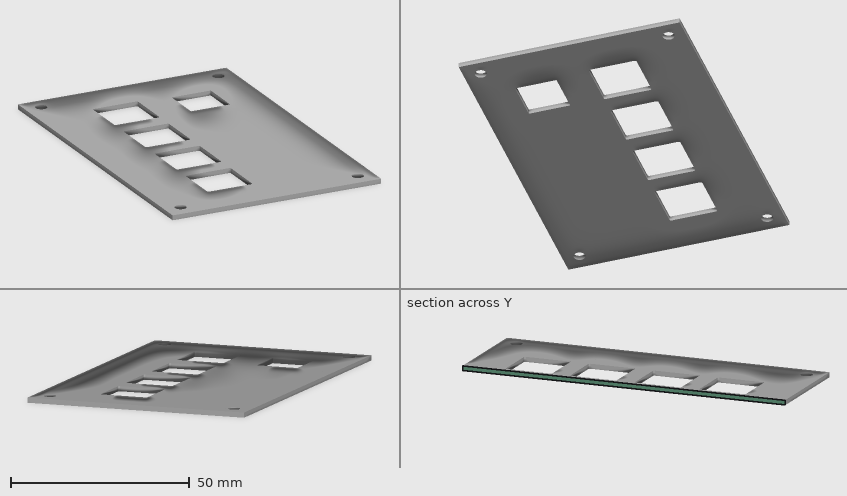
import cadquery as cq

plate_length = 97.5
plate_width = 65.0
plate_thickness = 1.5

hole_diameter = 3.4
hole_edge_distance = 4.9

window_count = 4
window_size = 14.0
window_pitch = 19.5
window_corner_radius = 0.5
window_row_x = 0.2
window_row_y = -8.5

opening_size = 12.2
opening_x = -28.5
opening_y = 14.5


def square_cutter(size):
    """Square block centred in X and Y, as tall as the plate."""
    return cq.Workplane("XY").box(size, size, plate_thickness, centered=(True, True, False))


plate = cq.Workplane("XY").box(
    plate_length, plate_width, plate_thickness, centered=(True, True, False)
)

plate = (
    plate.faces(">Z")
    .workplane(origin=(0, 0, plate_thickness))
    .rect(
        plate_length - 2 * hole_edge_distance,
        plate_width - 2 * hole_edge_distance,
        forConstruction=True,
    )
    .vertices()
    .hole(hole_diameter)
)

window = square_cutter(window_size).edges("|Z").fillet(window_corner_radius)
first_window_x = window_row_x - window_pitch * (window_count - 1) / 2
for index in range(window_count):
    window_x = first_window_x + index * window_pitch
    plate = plate.cut(window.translate((window_x, window_row_y, 0)))

plate = plate.cut(square_cutter(opening_size).translate((opening_x, opening_y, 0)))

result = plate